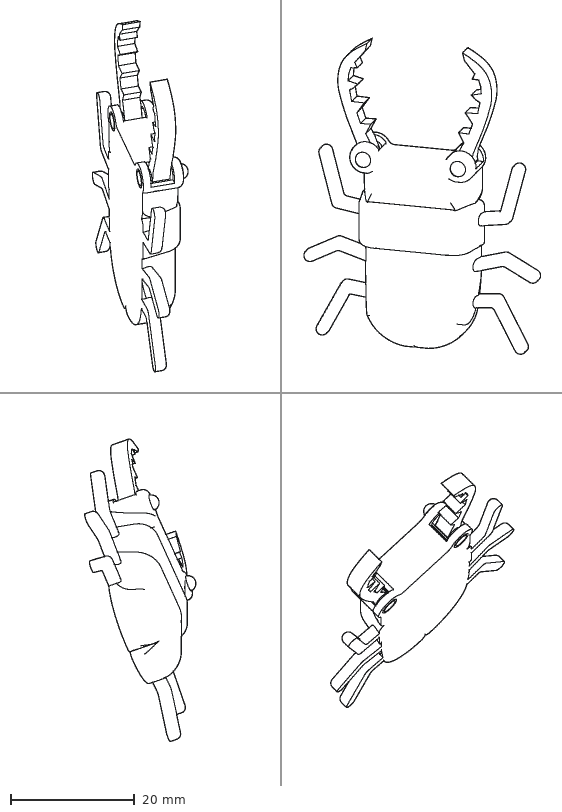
import cadquery as cq
import math


body_height = 7.0
pronotum_height = 7.3
leg_height = 2.05
jaw_thickness = 2.95
jaw_gap = 0.5
lower_flange = 1.3
jaw_bottom = lower_flange + jaw_gap
slot_height = jaw_thickness + 2 * jaw_gap

pivot_x = 8.05
pivot_z = 32.4
eye_radius = 2.5
hole_radius = 1.55
pin_radius = 1.25
pin_end_gap = hole_radius - pin_radius
hole_roof = 0.5
hole_depth = body_height - hole_roof
pin_length = hole_depth - pin_end_gap
slot_floor_z = 32.15
jaw_base_z = 32.5
slot_wall_foot_x = 6.4
slot_wall_lean = math.radians(17)

head_front_z = 33.15
head_half_width = 10.05
head_taper_z = 27.65
head_side_lean = math.radians(20)
head_side_radius = 2.05
eye_edge_radius = 1.0
eye_dome_radius = 1.3
eye_dome_rise = 1.2
brow_radius = 1.15
head_rear_drop = 0.5
head_rear_middle = (6.85, 26.35)
head_taper_middle = (9.9, 26.35)
neck_half_width = 9.35

pronotum_front_z = 25.2
pronotum_rear_z = 17.5
pronotum_half_width = 10.35
pronotum_side_lean = math.radians(11)
pronotum_side_radius = 3.4
pronotum_front_radius = 1.0
pronotum_rear_radius = 0.6

wing_shoulder = 10.0
wing_middle = (9.7, 11.3)
wing_hip = (9.25, 6.9)
wing_tail_middle = (6.6, 2.0)
wing_tail_end = 1.95
wing_edge_radius = 5.0
wing_side_half_width = 9.85
wing_side_lean = math.radians(21)
wing_side_radius = 4.5
notch_depth = 1.05
notch_half_width = 0.8
notch_bulge = (0.3, 0.3)

leg_half_width = 1.005
leg_edge_radius = 0.95
knee_inner_radius = 0.65
leg_lines = [
    [(-7.7, 21.8), (-14.15, 22.8), (-16.3, 31.1)],
    [(-7.7, 13.9), (-14.1, 15.75), (-18.85, 13.25)],
    [(-7.7, 8.0), (-12.75, 8.55), (-16.75, leg_half_width)],
]

jaw_outer_curve = [
    (-9.9, 34.45), (-10.65, 36.4), (-11.65, 38.85), (-12.45, 41.4), (-12.9, 43.3), (-13.0, 45.1),
    (-12.75, 46.75), (-12.3, 47.95), (-11.35, 49.2), (-9.85, 50.4), (-8.1, 51.45),
]
jaw_toothed_edge = [
    (-8.4, 50.15), (-10.15, 48.05),
    (-9.7, 47.15), (-10.8, 47.1), (-11.15, 45.95), (-11.25, 44.8),
    (-9.55, 44.4), (-10.4, 43.65), (-11.0, 43.25), (-10.65, 41.35),
    (-8.55, 41.3), (-9.8, 39.5), (-9.15, 37.75),
    (-7.4, 37.8), (-8.3, 36.1), (-7.7, 35.1),
]
jaw_base_outer_x = -9.65
jaw_base_bulge = (-9.7, 33.45)
jaw_base_inner_x = -6.7


def front_plane(y=0.0):
    """XZ sketch plane at depth y; extruding by a negative length goes towards +Y."""
    return cq.Workplane("XZ", origin=(0, y, 0))


def opposite(point):
    """The same point on the -X side."""
    return (-point[0], point[1])


def mirrored(shape):
    return shape.mirror("YZ")


def make_vault(half_width, height, lean, radius, z_start, z_end):
    """Bar along Z on the belly plane with flanks leaning inwards and rounded shoulders."""
    top_half_width = half_width - height * math.tan(lean)
    return (
        cq.Workplane("XY", origin=(0, 0, z_start))
        .polyline([
            (-half_width, 0), (half_width, 0), (top_half_width, height), (-top_half_width, height),
        ])
        .close()
        .extrude(z_end - z_start)
        .edges("|Z and >Y").fillet(radius)
    )


def make_eye_bar():
    """Front of the head: an eye disc at each corner, blended into the straight front edge."""
    rise = (head_front_z + brow_radius - pivot_z) / (eye_radius + brow_radius)
    reach = math.sqrt(1 - rise**2)
    brow_x = pivot_x - (eye_radius + brow_radius) * reach
    brow_z = head_front_z + brow_radius
    brow_turn = (math.pi / 2 + math.asin(rise)) / 2
    brow_middle = (
        brow_x + brow_radius * math.cos(brow_turn), brow_z - brow_radius * math.sin(brow_turn),
    )
    blend = (pivot_x - eye_radius * reach, pivot_z + eye_radius * rise)
    eye_side = (pivot_x + eye_radius, pivot_z)
    eye_rear = (pivot_x, pivot_z - eye_radius)
    return (
        front_plane()
        .moveTo(brow_x, head_front_z)
        .lineTo(-brow_x, head_front_z)
        .threePointArc(opposite(brow_middle), opposite(blend))
        .threePointArc(opposite(eye_side), opposite(eye_rear))
        .lineTo(*eye_rear)
        .threePointArc(eye_side, blend)
        .threePointArc(brow_middle, (brow_x, head_front_z))
        .close()
        .extrude(-body_height)
        .faces(">Y").edges().fillet(eye_edge_radius)
    )


def make_head():
    """Eye bar and the vaulted head behind it, which narrows and drops to the neck."""
    side_reach = head_half_width - pivot_x
    eye_end_z = pivot_z - math.sqrt(eye_radius**2 - side_reach**2)
    buried_z = pronotum_front_z - pronotum_front_radius - 0.5
    neck_height = body_height - head_rear_drop
    neck = (neck_half_width, pronotum_front_z)
    taper_start = (head_half_width, head_taper_z)
    outline = (
        front_plane()
        .moveTo(head_half_width, eye_end_z)
        .lineTo(-head_half_width, eye_end_z)
        .lineTo(*opposite(taper_start))
        .threePointArc(opposite(head_taper_middle), opposite(neck))
        .lineTo(-neck_half_width, buried_z)
        .lineTo(neck_half_width, buried_z)
        .lineTo(*neck)
        .threePointArc(head_taper_middle, taper_start)
        .close()
        .extrude(-body_height)
    )
    rear_slope = (
        cq.Workplane("YZ")
        .moveTo(body_height, head_taper_z)
        .threePointArc(head_rear_middle, (neck_height, pronotum_front_z))
        .lineTo(neck_height, buried_z)
        .lineTo(body_height, buried_z)
        .close()
        .extrude(head_half_width, both=True)
    )
    vault = make_vault(
        head_half_width, body_height, head_side_lean, head_side_radius, buried_z, eye_end_z
    )
    return vault.intersect(outline).cut(rear_slope).union(make_eye_bar())


def make_pronotum():
    """Raised shield between head and wing cases, with broad rounded shoulders."""
    shield = make_vault(
        pronotum_half_width, pronotum_height, pronotum_side_lean, pronotum_side_radius,
        pronotum_rear_z, pronotum_front_z,
    )
    return (
        shield
        .faces(">Z").edges("not <Y").fillet(pronotum_front_radius)
        .faces("<Z").edges("not <Y").fillet(pronotum_rear_radius)
    )


def make_wing_cases():
    """Rounded back half: leaning flanks, tail curved to the belly and split by a small notch."""
    top_z = pronotum_rear_z + pronotum_rear_radius + 0.5
    wings = (
        front_plane()
        .moveTo(wing_shoulder, top_z)
        .lineTo(-wing_shoulder, top_z)
        .lineTo(-wing_shoulder, pronotum_rear_z)
        .threePointArc(opposite(wing_middle), opposite(wing_hip))
        .threePointArc(opposite(wing_tail_middle), (-wing_tail_end, 0))
        .lineTo(wing_tail_end, 0)
        .threePointArc(wing_tail_middle, wing_hip)
        .threePointArc(wing_middle, (wing_shoulder, pronotum_rear_z))
        .close()
        .extrude(-body_height)
        .faces(">Y").edges("not >Z").fillet(wing_edge_radius)
    )
    vault = make_vault(
        wing_side_half_width, body_height, wing_side_lean, wing_side_radius, 0, top_z
    )
    notch = (
        front_plane()
        .moveTo(-notch_half_width, 0)
        .threePointArc(opposite(notch_bulge), (0, notch_depth))
        .threePointArc(notch_bulge, (notch_half_width, 0))
        .close()
        .extrude(-body_height)
    )
    return wings.intersect(vault).cut(notch)


def bend_distance(edge, centre_line):
    """Distance of an upright edge from the knee point of a leg."""
    knee_x, knee_z = centre_line[1]
    middle = edge.Center()
    return math.hypot(middle.x - knee_x, middle.z - knee_z)


def make_leg(centre_line):
    """Bent leg of constant width with round ends and rounded top edges."""
    knee_x, knee_z = centre_line[1]
    knee_zone = cq.selectors.BoxSelector(
        (knee_x - 2 * leg_half_width, -0.5, knee_z - 2 * leg_half_width),
        (knee_x + 2 * leg_half_width, leg_height + 0.5, knee_z + 2 * leg_half_width),
    )
    leg = front_plane().polyline(centre_line).offset2D(leg_half_width, "arc").extrude(-leg_height)
    knee_edges = leg.edges("|Y").edges(knee_zone).vals()
    inner_edge = max(knee_edges, key=lambda edge: bend_distance(edge, centre_line))
    leg = leg.newObject([inner_edge]).fillet(knee_inner_radius)
    return leg.faces(">Y").edges().fillet(leg_edge_radius)


def make_eye_dome():
    """Domed eye of the -X side, set into the back above the hinge."""
    centre_y = body_height + eye_dome_rise - eye_dome_radius
    return cq.Workplane("XY", origin=(-pivot_x, centre_y, pivot_z)).sphere(eye_dome_radius)


def make_hinge_cut():
    """Pin hole, open at the belly only, and the slot for the jaw, open towards -X and +Z."""
    slot_top_z = pivot_z + 2 * eye_radius
    slot_outer_x = pivot_x + 2 * eye_radius
    wall_top_x = slot_wall_foot_x - (slot_top_z - slot_floor_z) * math.tan(slot_wall_lean)
    slot = (
        front_plane(lower_flange)
        .polyline([
            (-slot_outer_x, slot_floor_z), (-slot_wall_foot_x, slot_floor_z),
            (-wall_top_x, slot_top_z), (-slot_outer_x, slot_top_z),
        ])
        .close()
        .extrude(-slot_height)
    )
    hole = front_plane().center(-pivot_x, pivot_z).circle(hole_radius).extrude(-hole_depth)
    return slot.union(hole)


def make_body():
    """Head, pronotum, wing cases and six legs in one piece, cut for the two hinges."""
    body = make_head().union(make_pronotum()).union(make_wing_cases())
    dome = make_eye_dome()
    hinge_cut = make_hinge_cut()
    body = body.union(dome).union(mirrored(dome)).cut(hinge_cut).cut(mirrored(hinge_cut))
    for centre_line in leg_lines:
        leg = make_leg(centre_line)
        body = body.union(leg).union(mirrored(leg))
    return body


def make_jaw():
    """Toothed jaw of the -X side with its pin, which ends level with the belly."""
    jaw = (
        front_plane(jaw_bottom)
        .moveTo(jaw_base_outer_x, jaw_base_z)
        .threePointArc(jaw_base_bulge, jaw_outer_curve[0])
        .spline(jaw_outer_curve[1:], includeCurrent=True)
        .polyline(jaw_toothed_edge, includeCurrent=True)
        .lineTo(jaw_base_inner_x, jaw_base_z)
        .close()
        .extrude(-jaw_thickness)
    )
    pin = front_plane().center(-pivot_x, pivot_z).circle(pin_radius).extrude(-pin_length)
    return jaw.union(pin)


body = make_body()
left_jaw = make_jaw()
jaws = [left_jaw, mirrored(left_jaw)]

result = cq.Compound.makeCompound([body.val(), *[jaw.val() for jaw in jaws]])